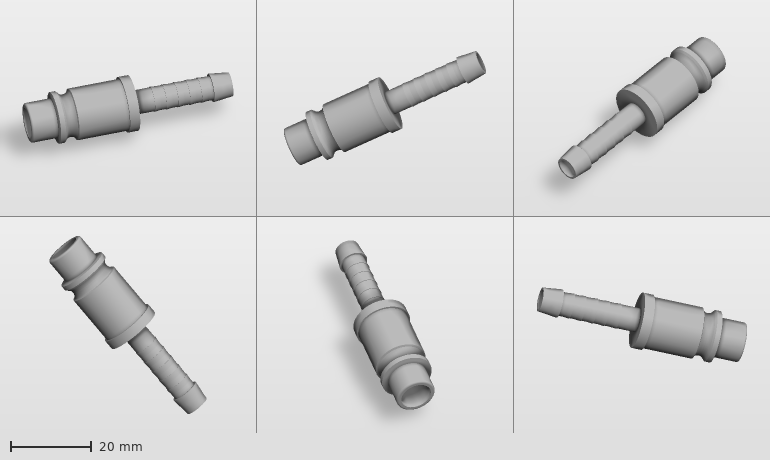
import cadquery as cq

length = 52.0

nose_radius = 5.0
nose_fillet = 0.5
nose_length = 6.6

body_radius = 6.5
collar_cone_length = 0.3
collar_rear = 8.2
groove_front = 8.7
groove_middle = 9.95
groove_rear = 11.45
groove_front_radius = 6.05
groove_rear_radius = 6.0
groove_floor_radius = 5.35
body_front = 11.65

flange_diameter = 14.0
flange_radius = flange_diameter / 2
flange_front = 24.5
flange_rear = 27.05

tail_radius = 3.0
tip_length = 5.0
tip_barb_radius = 3.6
barb_radius = 3.15
barb_length = 1.5
barb_pitch = 2 * barb_length
barb_count = 5

bore_radius = 2.5
socket_radius = 3.85
socket_depth = flange_front


def cylinder(radius, start, end):
    """Cylinder on the Y axis between two distances from the plug end."""
    plane = cq.Workplane("XZ", origin=(0, start, 0))
    return plane.circle(radius).extrude(start - end)


def barb(base_length, front_radius, rear_y):
    """Conical barb, wide toward the plug and narrowing to the tail radius at rear_y."""
    front_y = rear_y - base_length
    profile = [(0, front_y), (front_radius, front_y), (tail_radius, rear_y), (0, rear_y)]
    return cq.Workplane("XY").polyline(profile).close().revolve(360, (0, 0), (0, 1))


def groove_arc_radius(edge_radius, half_width):
    """Radius of an arc that is tangent to the groove floor and ends at edge_radius."""
    depth = edge_radius - groove_floor_radius
    return (half_width**2 + depth**2) / (2 * depth)


def plug_body():
    """Nose, collar, locking groove, body, flange and plain hose tail."""
    front_arc = groove_arc_radius(groove_front_radius, groove_middle - groove_front)
    rear_arc = groove_arc_radius(groove_rear_radius, groove_rear - groove_middle)
    body = (
        cq.Workplane("XY")
        .lineTo(nose_radius, 0)
        .lineTo(nose_radius, nose_length)
        .lineTo(body_radius, nose_length + collar_cone_length)
        .lineTo(body_radius, collar_rear)
        .lineTo(groove_front_radius, groove_front)
        .radiusArc((groove_floor_radius, groove_middle), front_arc)
        .radiusArc((groove_rear_radius, groove_rear), rear_arc)
        .lineTo(body_radius, body_front)
        .lineTo(body_radius, flange_front)
        .lineTo(flange_radius, flange_front)
        .lineTo(flange_radius, flange_rear)
        .lineTo(tail_radius, flange_rear)
        .lineTo(tail_radius, length)
        .lineTo(0, length)
        .close()
        .revolve(360, (0, 0), (0, 1))
    )
    return body.faces("<Y").edges().fillet(nose_fillet)


result = plug_body().union(barb(tip_length, tip_barb_radius, length))

first_barb_rear = length - tip_length - barb_length
for index in range(barb_count):
    result = result.union(barb(barb_length, barb_radius, first_barb_rear - index * barb_pitch))

result = result.cut(cylinder(bore_radius, 0, length))
result = result.cut(cylinder(socket_radius, 0, socket_depth))